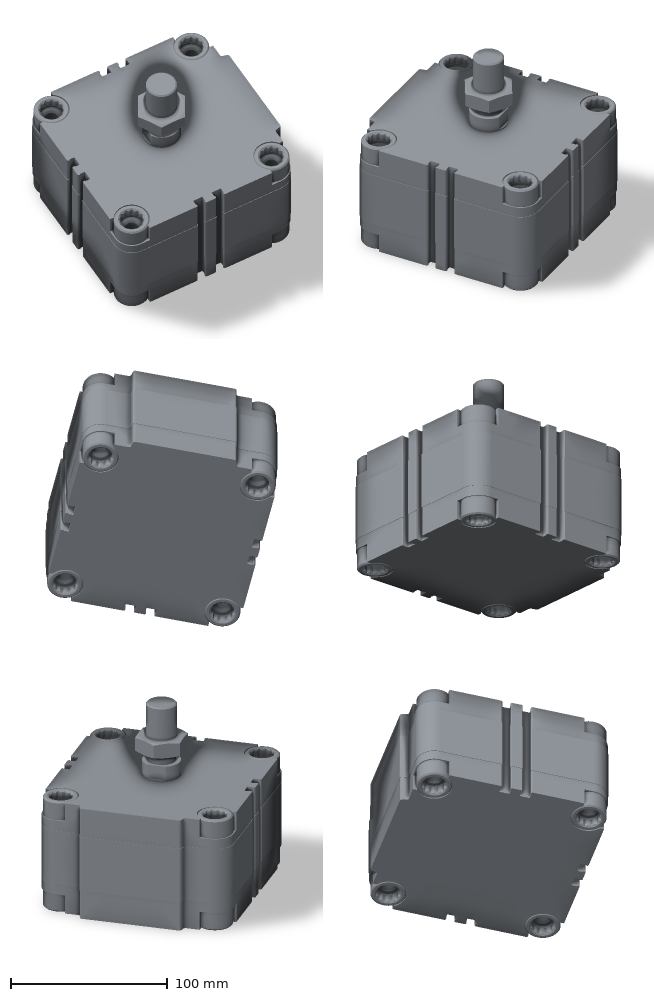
import cadquery as cq
import math

BLOCK_SIDE = 128.0
BLOCK_HEIGHT = 76.5
CAP_HEIGHT = 19.5
CAP_INSET = 0.25
CORNER_RADIUS = 12.5

PAD_RISE = 5.0
PAD_TOP_HALF_WIDTH = 33.9
PAD_FOOT_HALF_WIDTH = 35.0
PAD_ROUND = 1.5

SLOT_OFFSET = 6.8
SLOT_WIDTH = 6.8
SLOT_DEPTH = 5.6
MOUTH_WIDTH = 5.2
LIP_DEPTH = 2.0
MOUTH_CHAMFER = 0.6

SCREW_OFFSET = BLOCK_SIDE / 2 - CORNER_RADIUS
HEAD_DIAMETER = 23.0
HEAD_HEIGHT = 12.5
HEAD_CHAMFER = 0.9
POCKET_REACH = 6.5
SOCKET_MOUTH_DIAMETER = 17.3
SOCKET_TIP_DIAMETER = 16.2
SOCKET_WALL_DEPTH = 5.9
SOCKET_RELIEF_DIAMETER = 15.4
SOCKET_DEPTH = 7.8
COUNTERSINK_DIAMETER = 10.9
THREAD_HOLE_DIAMETER = 8.4
THREAD_HOLE_DEPTH = 18.6
THROUGH_HOLE_DIAMETER = 8.0

ROD_DIAMETER = 25.0
ROD_SHOULDER_Z = 86.7
ROD_FLATS_WIDTH = 22.0
ROD_COLLAR_HEIGHT = 0.9
ROD_FLATS_Z = BLOCK_HEIGHT + ROD_COLLAR_HEIGHT
ROD_SEAT_Z = BLOCK_HEIGHT - CAP_HEIGHT
NECK_DIAMETER = 18.2
THREAD_DIAMETER = 20.0
THREAD_START_Z = 90.5
THREAD_CHAMFER = (THREAD_DIAMETER - NECK_DIAMETER) / 2
ROD_TOP_Z = 126.5

NUT_ACROSS_FLATS = 30.0
NUT_BOTTOM_Z = 93.8
NUT_HEIGHT = 10.1
NUT_FACE_DIAMETER = 29.7
NUT_CHAMFER_ANGLE = 15


def t_slot(inset, height):
    """Cutter for one slot that opens through the -Y face, centred on X = 0."""
    tube_face_y = -BLOCK_SIDE / 2
    face_y = tube_face_y + inset
    lip_y = tube_face_y + LIP_DEPTH
    floor_y = tube_face_y + SLOT_DEPTH
    mouth_half = MOUTH_WIDTH / 2 + inset
    flared_half = mouth_half + MOUTH_CHAMFER
    slot_half = SLOT_WIDTH / 2
    right_side = [
        (flared_half, face_y),
        (mouth_half, face_y + MOUTH_CHAMFER),
        (mouth_half, lip_y),
        (slot_half, lip_y),
        (slot_half, floor_y),
    ]
    left_side = [(-x, y) for x, y in reversed(right_side)]
    return cq.Workplane("XY").polyline(right_side + left_side).close().extrude(height)


def block_layer(inset, height):
    """One layer of the housing block, all its faces moved inward by `inset`."""
    half = BLOCK_SIDE / 2 - inset
    pad_y = BLOCK_SIDE / 2 + PAD_RISE - inset
    top_half = PAD_TOP_HALF_WIDTH - inset
    foot_half = PAD_FOOT_HALF_WIDTH - inset
    square = cq.Workplane("XY").rect(2 * half, 2 * half).extrude(height)
    square = square.edges("|Z").fillet(CORNER_RADIUS - inset)
    pad = (
        cq.Workplane("XY")
        .polyline([(-foot_half, 0), (-foot_half, half), (-top_half, pad_y),
                   (top_half, pad_y), (foot_half, half), (foot_half, 0)])
        .close()
        .extrude(height)
        .edges("|Z and >Y").fillet(PAD_ROUND)
    )
    layer = square.union(pad)
    for side in (-1, 1):
        foot = cq.selectors.NearestToPointSelector((side * foot_half, half, height / 2))
        layer = layer.edges("|Z").edges(foot).fillet(PAD_ROUND)
    for face_angle in (-90, 0, 90):
        for side in (-1, 1):
            slot = t_slot(inset, height).translate((side * SLOT_OFFSET, 0, 0))
            layer = layer.cut(slot.rotate((0, 0, 0), (0, 0, 1), face_angle))
    return layer


def disc(diameter, bottom_z, top_z):
    return cq.Workplane("XY").workplane(offset=bottom_z).circle(diameter / 2).extrude(top_z - bottom_z)


def cone(top_diameter, bottom_diameter, top_z):
    """45 degree cone that narrows downward from `top_z`."""
    depth = (top_diameter - bottom_diameter) / 2
    bottom_centre = cq.Vector(0, 0, top_z - depth)
    return cq.Workplane(cq.Solid.makeCone(bottom_diameter / 2, top_diameter / 2, depth, pnt=bottom_centre))


def screw_pocket():
    """Cutter around a screw head whose axis is Z, with the top at Z = 0 and the corner at -X, -Y."""
    side = CORNER_RADIUS + POCKET_REACH
    corner = cq.Workplane("XY").box(side, side, HEAD_HEIGHT, centered=False)
    corner = corner.translate((-CORNER_RADIUS, -CORNER_RADIUS, -HEAD_HEIGHT))
    return corner.union(disc(HEAD_DIAMETER, -HEAD_HEIGHT, 0))


def screw_socket():
    """Cutter for the twelve-point socket and the threaded hole below it, top at Z = 0."""
    star = cq.Workplane("XY").polygon(6, SOCKET_TIP_DIAMETER).extrude(-SOCKET_WALL_DEPTH)
    star = star.union(star.rotate((0, 0, 0), (0, 0, 1), 30))
    flats_diameter = SOCKET_TIP_DIAMETER * math.cos(math.radians(30))
    return (
        star
        .union(cone(SOCKET_MOUTH_DIAMETER, flats_diameter, 0))
        .union(disc(SOCKET_RELIEF_DIAMETER, -SOCKET_DEPTH, -SOCKET_WALL_DEPTH))
        .union(cone(COUNTERSINK_DIAMETER, THREAD_HOLE_DIAMETER, -SOCKET_DEPTH))
        .union(disc(THREAD_HOLE_DIAMETER, -THREAD_HOLE_DEPTH, -SOCKET_DEPTH))
    )


def both_ends(shape):
    """The shape at the top of the block together with its mirror image at the bottom."""
    top = shape.translate((0, 0, BLOCK_HEIGHT / 2))
    return top.union(top.mirror("XY")).translate((0, 0, BLOCK_HEIGHT / 2))


def at_corner(shape, angle):
    """Move a shape to the -X, -Y screw axis, then turn it about Z to one of the four corners."""
    placed = shape.translate((-SCREW_OFFSET, -SCREW_OFFSET, 0))
    return placed.rotate((0, 0, 0), (0, 0, 1), angle)


def make_housing():
    tube_height = BLOCK_HEIGHT - 2 * CAP_HEIGHT
    cap = block_layer(CAP_INSET, CAP_HEIGHT)
    housing = block_layer(0, tube_height).translate((0, 0, CAP_HEIGHT))
    housing = housing.union(cap).union(cap.translate((0, 0, CAP_HEIGHT + tube_height)))

    head = disc(HEAD_DIAMETER, -HEAD_HEIGHT, 0).faces(">Z").edges().chamfer(HEAD_CHAMFER)
    pockets = both_ends(screw_pocket())
    heads = both_ends(head)
    sockets = both_ends(screw_socket()).union(disc(THROUGH_HOLE_DIAMETER, 0, BLOCK_HEIGHT))
    for angle in (0, 90, 180, 270):
        housing = housing.cut(at_corner(pockets, angle))
        housing = housing.union(at_corner(heads, angle))
        housing = housing.cut(at_corner(sockets, angle))

    return housing.cut(disc(ROD_DIAMETER, ROD_SEAT_Z, BLOCK_HEIGHT))


def make_rod():
    shaft = disc(ROD_DIAMETER, ROD_SEAT_Z, ROD_SHOULDER_Z)
    flats_height = ROD_SHOULDER_Z - ROD_FLATS_Z
    flats = (
        cq.Workplane("XY")
        .box(ROD_DIAMETER, ROD_DIAMETER, flats_height, centered=(True, True, False))
        .cut(cq.Workplane("XY").box(ROD_DIAMETER, ROD_FLATS_WIDTH, flats_height, centered=(True, True, False)))
        .translate((0, 0, ROD_FLATS_Z))
    )
    neck = disc(NECK_DIAMETER, ROD_SHOULDER_Z, THREAD_START_Z)
    thread = disc(THREAD_DIAMETER, THREAD_START_Z, ROD_TOP_Z).faces("<Z or >Z").edges().chamfer(THREAD_CHAMFER)
    return shaft.cut(flats).union(neck).union(thread)


def make_nut():
    corner_diameter = NUT_ACROSS_FLATS / math.cos(math.radians(30))
    hexagon = cq.Workplane("XY").polygon(6, corner_diameter).extrude(NUT_HEIGHT).rotate((0, 0, 0), (0, 0, 1), 30)
    corner_radius = corner_diameter / 2
    face_radius = NUT_FACE_DIAMETER / 2
    drop = (corner_radius - face_radius) * math.tan(math.radians(NUT_CHAMFER_ANGLE))
    chamfered_blank = (
        cq.Workplane("XZ")
        .polyline([(0, 0), (face_radius, 0), (corner_radius, drop),
                   (corner_radius, NUT_HEIGHT - drop), (face_radius, NUT_HEIGHT), (0, NUT_HEIGHT)])
        .close()
        .revolve(360, (0, 0, 0), (0, 1, 0))
    )
    nut = hexagon.intersect(chamfered_blank).cut(disc(THREAD_DIAMETER, 0, NUT_HEIGHT))
    return nut.translate((0, 0, NUT_BOTTOM_Z))


housing = make_housing()
rod = make_rod()
nut = make_nut()
result = cq.Compound.makeCompound([housing.val(), rod.val(), nut.val()])